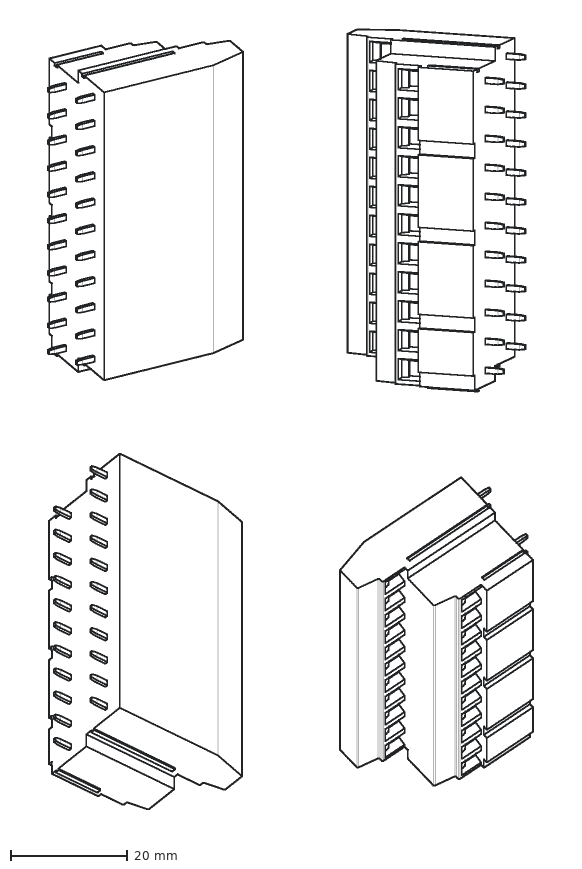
import cadquery as cq
import math

PITCH = 5.08
HALF_PITCH = PITCH / 2
CONTACTS = 11

DEPTH = 19.85
UPPER_HEIGHT = 28.35
LOWER_HEIGHT = 19.25
UPPER_LENGTH = 55.85
LOWER_LENGTH = 56.1
ROW_SPLIT_X = 10.5
UPPER_ENTRY_X = 11.4
UPPER_ENTRY_TOP = 24.15
LOWER_ENTRY_X = 1.6
LOWER_ENTRY_TOP = 15.1
LEDGE_HEIGHT = 10.2
BROW_DEPTH = 0.95
BROW_SLOPE_RUN = 0.7
BACK_SLOPE_TOP_X = 17.85
BACK_SLOPE_FOOT = 21.45
CORNER_RADIUS = 0.25

UPPER_CENTER_Z = 0
LOWER_CENTER_Z = -HALF_PITCH
LOWER_BOTTOM_Z = LOWER_CENTER_Z - LOWER_LENGTH / 2

NOTCH_DEPTH = 0.8
NOTCH_COUNT = 3
NOTCH_SPACING = 3 * PITCH
FIRST_NOTCH_TOP_Z = 2.5 * PITCH

RIB_HEIGHT = 0.405
RIB_NECK = 0.6
RIB_WIDTH = 0.8
GROOVE_DEPTH = 0.55
GROOVE_CLEARANCE = 0.05
LOWER_JOINT_X = 2.35
LOWER_JOINT_LENGTH = 9.15
UPPER_JOINT_X = 12.25
UPPER_JOINT_LENGTH = 17.75

ENTRY_WIDTH = 3.7
ENTRY_LINTEL = 0.65
ENTRY_DEPTH = 1.55
ENTRY_FLOOR_INSET = 0.55
ENTRY_TAPER = math.degrees(math.atan(ENTRY_FLOOR_INSET / ENTRY_DEPTH))
SHELF_OUTER_DEPTH = 0.75
SHELF_INNER_DEPTH = 1.0
SHELF_DROP = 2.2

LOWER_PIN_X = 5.95
UPPER_PIN_X = LOWER_PIN_X + 2 * PITCH
PIN_LENGTH = 3.35
PIN_THICKNESS = 0.6
PIN_WIDTH = 1.0
PIN_TIP_LENGTH = 1.0
PIN_TIP_THICKNESS = 0.5
PIN_TIP_WIDTH = 0.7


def extrude_along_z(points, center_z, length):
    """Extrude an XY outline symmetrically about a height."""
    plane = cq.Workplane("XY", origin=(0, 0, center_z - length / 2))
    return plane.polyline(points).close().extrude(length)


def round_corners(body, corners, center_z):
    """Fillet the edges along Z that pass through the given outline corners."""
    for x, y in corners:
        edge = cq.selectors.NearestToPointSelector((x, y, center_z))
        body = body.edges("|Z").edges(edge).fillet(CORNER_RADIUS)
    return body


def contact_heights(center_z):
    """Heights of the contacts of one row."""
    return [center_z + (i - (CONTACTS - 1) / 2) * PITCH for i in range(CONTACTS)]


def lower_row():
    brow_x = LOWER_ENTRY_X + BROW_DEPTH
    outline = [
        (0, 0),
        (0, LEDGE_HEIGHT),
        (LOWER_ENTRY_X, LEDGE_HEIGHT),
        (LOWER_ENTRY_X, LOWER_ENTRY_TOP),
        (brow_x, LOWER_ENTRY_TOP),
        (brow_x + BROW_SLOPE_RUN, LOWER_HEIGHT),
        (ROW_SPLIT_X, LOWER_HEIGHT),
        (ROW_SPLIT_X, 0),
    ]
    row = extrude_along_z(outline, LOWER_CENTER_Z, LOWER_LENGTH)
    return round_corners(row, outline[3:6], LOWER_CENTER_Z)


def upper_row():
    brow_x = UPPER_ENTRY_X + BROW_DEPTH
    outline = [
        (ROW_SPLIT_X, 0),
        (ROW_SPLIT_X, LOWER_HEIGHT),
        (UPPER_ENTRY_X, LOWER_HEIGHT),
        (UPPER_ENTRY_X, UPPER_ENTRY_TOP),
        (brow_x, UPPER_ENTRY_TOP),
        (brow_x + BROW_SLOPE_RUN, UPPER_HEIGHT),
        (BACK_SLOPE_TOP_X, UPPER_HEIGHT),
        (DEPTH, BACK_SLOPE_FOOT),
        (DEPTH, 0),
    ]
    row = extrude_along_z(outline, UPPER_CENTER_Z, UPPER_LENGTH)
    return round_corners(row, outline[3:6], UPPER_CENTER_Z)


def ledge_notch(bottom_z, top_z):
    notch = cq.Workplane("XY").box(NOTCH_DEPTH, LEDGE_HEIGHT, top_z - bottom_z, centered=False)
    return notch.translate((0, 0, bottom_z))


def dovetail(x, face_z, height, neck, width, length):
    """Bar along Y, hanging from face_z, that widens downwards from its neck."""
    return (
        cq.Workplane("XZ")
        .polyline([
            (x - neck / 2, face_z),
            (x + neck / 2, face_z),
            (x + width / 2, face_z - height),
            (x - width / 2, face_z - height),
        ])
        .close()
        .extrude(-length)
    )


def rib(x, face_z, length):
    return dovetail(x, face_z, RIB_HEIGHT, RIB_NECK, RIB_WIDTH, length)


def groove(x, face_z, length):
    neck = RIB_NECK + 2 * GROOVE_CLEARANCE
    width = RIB_WIDTH + 2 * GROOVE_CLEARANCE
    return dovetail(x, face_z, GROOVE_DEPTH, neck, width, length)


def wire_entry(face_x, base_y, face_top, z):
    """Funnel pocket with a slanted shelf beside its deeper floor; it is open at base_y."""
    pocket_top = face_top - ENTRY_LINTEL
    shelf_edge = face_top - SHELF_DROP
    height = pocket_top - base_y
    funnel = (
        cq.Workplane("YZ", origin=(face_x, base_y, z))
        .rect(2 * height, ENTRY_WIDTH)
        .extrude(ENTRY_DEPTH, taper=ENTRY_TAPER)
    )
    profile = [
        (face_x, base_y),
        (face_x, pocket_top),
        (face_x + SHELF_OUTER_DEPTH, pocket_top),
        (face_x + SHELF_INNER_DEPTH, shelf_edge),
        (face_x + ENTRY_DEPTH, shelf_edge),
        (face_x + ENTRY_DEPTH, base_y),
    ]
    return funnel.intersect(extrude_along_z(profile, z, ENTRY_WIDTH))


def pin(x, z):
    """Rectangular pin below the underside, with a tapered tip."""
    shank_length = PIN_LENGTH - PIN_TIP_LENGTH
    underside = cq.Workplane("XZ", origin=(x, 0, z))
    shank = underside.rect(PIN_THICKNESS, PIN_WIDTH).extrude(shank_length)
    tip = (
        shank.faces("<Y")
        .workplane(centerOption="CenterOfMass")
        .rect(PIN_THICKNESS, PIN_WIDTH)
        .workplane(offset=PIN_TIP_LENGTH)
        .rect(PIN_TIP_THICKNESS, PIN_TIP_WIDTH)
        .loft(ruled=True, combine=False)
    )
    return shank.union(tip)


result = lower_row().union(upper_row())

for i in range(NOTCH_COUNT):
    notch_top = FIRST_NOTCH_TOP_Z - i * NOTCH_SPACING
    result = result.cut(ledge_notch(notch_top - HALF_PITCH, notch_top))
result = result.cut(ledge_notch(LOWER_BOTTOM_Z, -UPPER_LENGTH / 2))

joints = [
    (LOWER_JOINT_X, LOWER_CENTER_Z, LOWER_LENGTH, LOWER_JOINT_LENGTH),
    (UPPER_JOINT_X, UPPER_CENTER_Z, UPPER_LENGTH, UPPER_JOINT_LENGTH),
]
for x, center_z, row_length, joint_length in joints:
    result = result.cut(groove(x, center_z + row_length / 2, joint_length))
    result = result.union(rib(x, center_z - row_length / 2, joint_length))

rows = [
    (LOWER_CENTER_Z, LOWER_ENTRY_X, LEDGE_HEIGHT, LOWER_ENTRY_TOP, LOWER_PIN_X),
    (UPPER_CENTER_Z, UPPER_ENTRY_X, LOWER_HEIGHT, UPPER_ENTRY_TOP, UPPER_PIN_X),
]
for center_z, entry_x, entry_base, entry_top, pin_x in rows:
    for z in contact_heights(center_z):
        result = result.cut(wire_entry(entry_x, entry_base, entry_top, z))
        result = result.union(pin(pin_x, z))